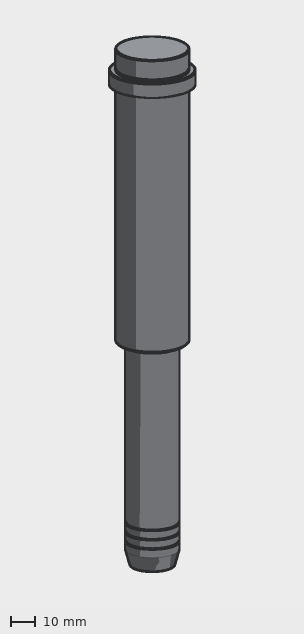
import cadquery as cq

TOTAL_LENGTH = 220.0
SLEEVE_BOTTOM = 95.0
COLLAR_BOTTOM = 204.8
COLLAR_TOP = 211.0

COLLAR_DIAMETER = 35.0
COLLAR_RADIUS = COLLAR_DIAMETER / 2
SLEEVE_RADIUS = 15.0
PIN_RADIUS = 11.0
TIP_RADIUS = 9.2

COLLAR_CHAMFER = 0.5
SLEEVE_CHAMFER = 0.9
HEAD_CHAMFER = 0.5
TIP_CHAMFER = 0.5
TAPER_LENGTH = 6.8

RELIEF_DEPTH = 0.5
RELIEF_WIDTH = 0.9

NECK_DEPTH = 0.5
NECK_RADIUS = PIN_RADIUS - NECK_DEPTH
NECK_LENGTH = 1.3

GROOVE_COUNT = 3
GROOVE_PITCH = 4.0
GROOVE_WIDTH = 0.7
GROOVE_DEPTH = 0.5
LOWEST_GROOVE_CENTER = 10.5


def cylinder(radius, bottom, top):
    return cq.Workplane("XY").workplane(offset=bottom).circle(radius).extrude(top - bottom)


def v_groove(surface_radius, depth, bottom, width):
    """Ring with a triangular section, pointing inward from a cylindrical surface."""
    section = (
        cq.Workplane("XZ")
        .moveTo(surface_radius, bottom)
        .lineTo(surface_radius - depth, bottom + width / 2)
        .lineTo(surface_radius, bottom + width)
        .close()
    )
    return section.revolve(360, (0, 0, 0), (0, 1, 0))


def make_sleeve():
    sleeve = cylinder(SLEEVE_RADIUS, SLEEVE_BOTTOM, TOTAL_LENGTH)
    sleeve = sleeve.faces("<Z").chamfer(SLEEVE_CHAMFER).faces(">Z").chamfer(HEAD_CHAMFER)
    lower_bottom = COLLAR_BOTTOM - RELIEF_WIDTH
    lower_relief = v_groove(SLEEVE_RADIUS, RELIEF_DEPTH, lower_bottom, RELIEF_WIDTH)
    upper_relief = v_groove(SLEEVE_RADIUS, RELIEF_DEPTH, COLLAR_TOP, RELIEF_WIDTH)
    return sleeve.cut(lower_relief).cut(upper_relief)


def make_collar():
    return cylinder(COLLAR_RADIUS, COLLAR_BOTTOM, COLLAR_TOP).faces(">Z").chamfer(COLLAR_CHAMFER)


def make_pin():
    profile = (
        cq.Workplane("XZ")
        .moveTo(0, 0)
        .lineTo(TIP_RADIUS - TIP_CHAMFER, 0)
        .lineTo(TIP_RADIUS, TIP_CHAMFER)
        .lineTo(PIN_RADIUS, TAPER_LENGTH)
        .lineTo(PIN_RADIUS, SLEEVE_BOTTOM - NECK_LENGTH)
        .lineTo(NECK_RADIUS, SLEEVE_BOTTOM - NECK_LENGTH)
        .lineTo(NECK_RADIUS, SLEEVE_BOTTOM)
        .lineTo(0, SLEEVE_BOTTOM)
        .close()
    )
    pin = profile.revolve(360, (0, 0, 0), (0, 1, 0))
    for index in range(GROOVE_COUNT):
        bottom = LOWEST_GROOVE_CENTER + index * GROOVE_PITCH - GROOVE_WIDTH / 2
        pin = pin.cut(v_groove(PIN_RADIUS, GROOVE_DEPTH, bottom, GROOVE_WIDTH))
    return pin


result = make_sleeve().union(make_collar()).union(make_pin())